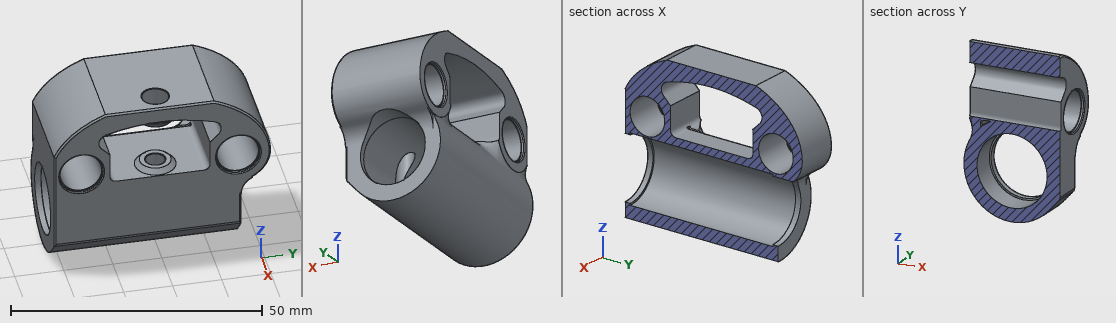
import cadquery as cq
import math


TUBE_RADIUS = 10.8
TUBE_LENGTH = 38.1
LIP_RADIUS = 7.35
LIP_LENGTH = 1.32
RECESS_RADIUS = 7.75

FRONT_X = -9.5
BACK_X = TUBE_RADIUS
BACK_LOWER_Z = -4.2
THICKNESS = BACK_X - FRONT_X
TOP_Z = 25.9
ELLIPSE_HEIGHT = 15.5
HUB_RADIUS = 6.6
HUB_Y = 16.0
HUB_Z = 12.4
HALF_WIDTH = HUB_Y + HUB_RADIUS
BACK_CHAMFER = 0.35
PART_LENGTH = 44.15
END_Y = HALF_WIDTH - PART_LENGTH
TUBE_FAR_Y = END_Y + TUBE_LENGTH

FLOOR_Z = 9.65
FLOOR_X = -math.sqrt(TUBE_RADIUS**2 - FLOOR_Z**2)
FLOOR_FILLET = 1.3
WALL_HALF_WIDTH = 10.2
WINDOW_TOP_Z = 22.7
ROOF_RADIUS = 38.85
POCKET_RADIUS = 1.9
POCKET_Y = 10.55

HUB_HOLE_RADIUS = 4.25
HUB_SEAT_RADIUS = 4.45
HUB_SEAT_DEPTH = 0.65
HUB_HOLE_CHAMFER = 0.2

SCREW_X = 6.35
CLEARANCE_RADIUS = 2.7
SCREW_RADIUS = 2.0
SCREW_CHAMFER = 0.15
UPPER_BOSS_Z = 20.75
UPPER_BOSS_TIP_RADIUS = 3.35
UPPER_BOSS_ROOT_RADIUS = 4.72
UPPER_BOSS_ROOT_Z = 22.4
LOWER_BOSS_Z = 10.7
LOWER_BOSS_TIP_RADIUS = 3.2
LOWER_BOSS_ROOT_RADIUS = 4.15

BLEND_RADIUS = 3.45
END_BLEND_RADIUS = 3.97
BLEND_DEPTH = 3.55
BLEND_SINK = 0.02
BISECTION_STEPS = 40
CORE_X = -8.15
CORE_Z = 6.2
RIM_X = FRONT_X + BLEND_SINK
RIM_RADIUS = HUB_RADIUS - BLEND_SINK
BLEND_SECTIONS = 6
BLEND_INNER_ANGLE = 90
FAR_BLEND_ANGLE = 20
NEAR_BLEND_ANGLE = 62


def box(x0, x1, y0, y1, z0, z1):
    return cq.Workplane("XY").box(x1 - x0, y1 - y0, z1 - z0, centered=False).translate((x0, y0, z0))


def cone(z0, radius0, z1, radius1):
    """Cone or cylinder about the screw axis."""
    corners = [(0, z0), (radius0, z0), (radius1, z1), (0, z1)]
    profile = cq.Workplane("XZ", origin=(SCREW_X, 0, 0)).polyline(corners)
    return profile.close().revolve(360, (0, 0), (0, 1))


def cylinder_x(radius, x0, x1, y, z):
    return cq.Workplane("YZ", origin=(x0, y, z)).circle(radius).extrude(x1 - x0)


def cylinder_y(radius, y0, y1):
    return cq.Workplane("XZ", origin=(0, y0, 0)).circle(radius).extrude(y0 - y1)


def point_on(center, radius, degrees):
    angle = math.radians(degrees)
    return (center[0] + radius * math.cos(angle), center[1] + radius * math.sin(angle))


def mirrored(point):
    return (-point[0], point[1])


def arch():
    """Half ellipse with a flat top, standing on two round hubs and cut straight at one end."""
    half_ellipse = (
        cq.Workplane("YZ", origin=(FRONT_X, 0, HUB_Z))
        .ellipse(HALF_WIDTH, ELLIPSE_HEIGHT)
        .extrude(THICKNESS)
        .intersect(box(FRONT_X, BACK_X, -HALF_WIDTH, HALF_WIDTH, HUB_Z, TOP_Z))
    )
    hubs = [cylinder_x(HUB_RADIUS, FRONT_X, BACK_X, y, HUB_Z) for y in (-HUB_Y, HUB_Y)]
    return (
        half_ellipse.union(hubs[0])
        .union(hubs[1])
        .intersect(box(FRONT_X, BACK_X, END_Y, HALF_WIDTH, 0, TOP_Z))
    )


def tube():
    """Round in front and below, with a tangent flat up to the back face, solid up into the feet."""
    tangent_angle = 2 * math.degrees(math.atan2(BACK_LOWER_Z, TUBE_RADIUS))
    back = (
        cq.Workplane("XZ", origin=(0, END_Y, 0))
        .polyline([
            (0, 0),
            point_on((0, 0), TUBE_RADIUS, tangent_angle),
            (BACK_X, BACK_LOWER_Z),
            (BACK_X, HUB_Z),
            (FLOOR_X, HUB_Z),
            (FLOOR_X, FLOOR_Z),
        ])
        .close()
        .extrude(-TUBE_LENGTH)
    )
    return cylinder_y(TUBE_RADIUS, END_Y, TUBE_FAR_Y).union(back)


def end_blend():
    """Concave fillet between the underside of the far hub and the far end of the tube."""
    center_y = TUBE_FAR_Y + END_BLEND_RADIUS
    center_reach = HUB_RADIUS + END_BLEND_RADIUS
    center_z = HUB_Z - math.sqrt(center_reach**2 - (center_y - HUB_Y) ** 2)
    share = HUB_RADIUS / center_reach
    hub_point = (HUB_Y + (center_y - HUB_Y) * share, HUB_Z + (center_z - HUB_Z) * share)
    tube_point = (TUBE_FAR_Y, center_z)
    start_angle = math.degrees(math.atan2(hub_point[1] - center_z, hub_point[0] - center_y))
    mid = point_on((center_y, center_z), END_BLEND_RADIUS, (start_angle + 180) / 2)
    front_x = -math.sqrt(TUBE_RADIUS**2 - (HUB_Z - HUB_RADIUS) ** 2)
    return (
        cq.Workplane("YZ", origin=(front_x, 0, 0))
        .moveTo(*tube_point)
        .threePointArc(mid, hub_point)
        .lineTo(HUB_Y, HUB_Z)
        .lineTo(HUB_Y, center_z)
        .close()
        .extrude(BACK_X - front_x)
    )


def ball_position(angle):
    """X, and distance from the hub axis, of a ball resting on the tube and the hub at an angle.

    It touches the front rim of the hub, or the side of the hub where it fits behind the rim.
    """
    reach = TUBE_RADIUS - BLEND_SINK + BLEND_RADIUS
    low = -math.pi / 3
    high = math.pi / 2
    for _ in range(BISECTION_STEPS):
        tilt = (low + high) / 2
        x = RIM_X - BLEND_RADIUS * math.cos(tilt)
        distance = RIM_RADIUS + BLEND_RADIUS * math.sin(tilt)
        if math.hypot(x, HUB_Z - distance * math.cos(angle)) > reach:
            low = tilt
        else:
            high = tilt
    height = HUB_Z - distance * math.cos(angle)
    return -math.sqrt(reach**2 - height**2), distance


def blend_section(hub_y, inward, degrees):
    """Closed section through one ball: the concave arc, then straight lines behind it."""
    angle = math.radians(degrees)
    outward = cq.Vector(0, inward * math.sin(angle), -math.cos(angle))
    hub_center = cq.Vector(0, hub_y, HUB_Z)
    x, distance = ball_position(angle)
    ball = hub_center + outward * distance + cq.Vector(x, 0, 0)
    rim = hub_center + outward * RIM_RADIUS + cq.Vector(max(x, RIM_X), 0, 0)
    to_axis = cq.Vector(-ball.x, 0, -ball.z).normalized()
    on_tube = ball + to_axis * BLEND_RADIUS
    to_rim = (rim - ball).normalized()
    middle = (to_rim + to_axis).normalized()
    inside_tube = on_tube + to_axis * BLEND_DEPTH
    inside_hub = rim + to_rim * BLEND_DEPTH
    return cq.Wire.assembleEdges([
        cq.Edge.makeThreePointArc(rim, ball + middle * BLEND_RADIUS, on_tube),
        cq.Edge.makeLine(on_tube, inside_tube),
        cq.Edge.makeLine(inside_tube, inside_hub),
        cq.Edge.makeLine(inside_hub, rim),
    ])


def hub_blend(hub_y, outer_angle):
    inward = -math.copysign(1, hub_y)
    step = (BLEND_INNER_ANGLE + outer_angle) / BLEND_SECTIONS
    sections = [blend_section(hub_y, inward, i * step - outer_angle) for i in range(BLEND_SECTIONS + 1)]
    return cq.Workplane(cq.Solid.makeLoft(sections)).intersect(
        box(-2 * TUBE_RADIUS, BACK_X, END_Y, TUBE_FAR_Y, 0, HUB_Z)
    )


def near_core():
    """Solid filling behind the blend at the near end, between the hub and the tube."""
    return box(CORE_X, FLOOR_X, END_Y, -HUB_Y, CORE_Z, HUB_Z)


def window():
    """Opening under the arch: curved roof, rounded pockets, 45 degree shelves and straight walls."""
    roof_center = (0, WINDOW_TOP_Z - ROOF_RADIUS)
    reach = ROOF_RADIUS - POCKET_RADIUS
    pocket = (POCKET_Y, roof_center[1] + math.sqrt(reach**2 - POCKET_Y**2))
    roof_angle = math.degrees(math.acos(POCKET_Y / reach))
    roof_end = point_on(pocket, POCKET_RADIUS, roof_angle)
    pocket_side = point_on(pocket, POCKET_RADIUS, 0)
    shelf_start = point_on(pocket, POCKET_RADIUS, -45)
    wall_top = (WALL_HALF_WIDTH, shelf_start[1] - (shelf_start[0] - WALL_HALF_WIDTH))
    wall_bottom = (WALL_HALF_WIDTH, FLOOR_Z + FLOOR_FILLET)
    floor_center = (WALL_HALF_WIDTH - FLOOR_FILLET, FLOOR_Z + FLOOR_FILLET)
    floor_mid = point_on(floor_center, FLOOR_FILLET, -45)
    floor_end = (floor_center[0], FLOOR_Z)
    return (
        cq.Workplane("YZ", origin=(-2 * TUBE_RADIUS, 0, 0))
        .moveTo(*mirrored(roof_end))
        .threePointArc((0, WINDOW_TOP_Z), roof_end)
        .threePointArc(pocket_side, shelf_start)
        .lineTo(*wall_top)
        .lineTo(*wall_bottom)
        .threePointArc(floor_mid, floor_end)
        .lineTo(*mirrored(floor_end))
        .threePointArc(mirrored(floor_mid), mirrored(wall_bottom))
        .lineTo(*mirrored(wall_top))
        .lineTo(*mirrored(shelf_start))
        .threePointArc(mirrored(pocket_side), mirrored(roof_end))
        .close()
        .extrude(4 * TUBE_RADIUS)
    )


def tube_bore():
    """Bore with a wider recess between a lip at each end; it runs on below the far hub."""
    lips = cylinder_y(LIP_RADIUS, END_Y, HALF_WIDTH)
    return lips.union(cylinder_y(RECESS_RADIUS, END_Y + LIP_LENGTH, TUBE_FAR_Y - LIP_LENGTH))


def hub_hole(y):
    """Through hole with a shallow seat and a chamfer at both faces."""
    hole = cylinder_x(HUB_HOLE_RADIUS, FRONT_X, BACK_X, y, HUB_Z)
    for face_x, into in ((FRONT_X, 1), (BACK_X, -1)):
        face_center = cq.Vector(face_x, y, HUB_Z)
        axis = cq.Vector(into, 0, 0)
        seat = cq.Solid.makeCylinder(HUB_SEAT_RADIUS, HUB_SEAT_DEPTH, face_center, axis)
        chamfer = cq.Solid.makeCone(
            HUB_SEAT_RADIUS + HUB_HOLE_CHAMFER, HUB_SEAT_RADIUS, HUB_HOLE_CHAMFER, face_center, axis
        )
        hole = hole.union(cq.Workplane(seat)).union(cq.Workplane(chamfer))
    return hole


def screw_bosses():
    """Upper boss hanging from the arch and lower boss standing on the floor of the window."""
    upper = cone(UPPER_BOSS_Z, UPPER_BOSS_TIP_RADIUS, UPPER_BOSS_ROOT_Z, UPPER_BOSS_ROOT_RADIUS)
    root = cone(UPPER_BOSS_ROOT_Z, UPPER_BOSS_ROOT_RADIUS, WINDOW_TOP_Z, UPPER_BOSS_ROOT_RADIUS)
    lower = cone(FLOOR_Z, LOWER_BOSS_ROOT_RADIUS, LOWER_BOSS_Z, LOWER_BOSS_TIP_RADIUS)
    return upper.union(root), lower


def screw_hole():
    """Clearance hole down through the arch, then a smaller hole into the tube bore."""
    clearance_chamfer_z = TOP_Z - SCREW_CHAMFER
    lower_chamfer_z = LOWER_BOSS_Z - SCREW_CHAMFER
    return (
        cone(LOWER_BOSS_Z, CLEARANCE_RADIUS, TOP_Z, CLEARANCE_RADIUS)
        .union(cone(clearance_chamfer_z, CLEARANCE_RADIUS, TOP_Z, CLEARANCE_RADIUS + SCREW_CHAMFER))
        .union(cone(0, SCREW_RADIUS, LOWER_BOSS_Z, SCREW_RADIUS))
        .union(cone(lower_chamfer_z, SCREW_RADIUS, LOWER_BOSS_Z, SCREW_RADIUS + SCREW_CHAMFER))
    )


result = arch().union(tube()).faces(">X").edges().chamfer(BACK_CHAMFER)
result = result.union(near_core()).union(end_blend())
result = result.union(hub_blend(HUB_Y, FAR_BLEND_ANGLE)).union(hub_blend(-HUB_Y, NEAR_BLEND_ANGLE))
result = result.cut(window())
for boss in screw_bosses():
    result = result.union(boss)
result = result.cut(tube_bore()).cut(screw_hole())
for hub_y in (HUB_Y, -HUB_Y):
    result = result.cut(hub_hole(hub_y))